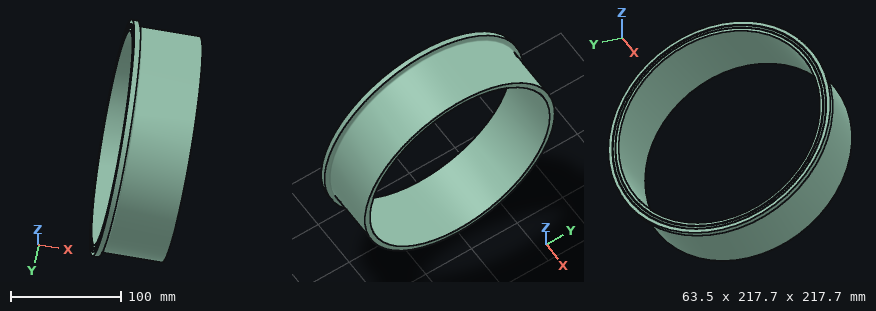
import cadquery as cq
import math

length = 63.5
flange_diameter = 217.7
tube_diameter = 208.0
bore_diameter = 197.0
flange_radius = flange_diameter / 2
tube_radius = tube_diameter / 2
bore_radius = bore_diameter / 2

rim_width = 5.7
taper_angle = math.radians(20)
neck_fillet = 1.5

groove_outer_radius = 105.0
groove_inner_radius = 101.5
groove_depth = 1.3
wall_width = 0.7
wall_depth = 0.5

corner_x = rim_width + (flange_radius - tube_radius) * math.tan(taper_angle)
tangent_length = neck_fillet * math.tan((math.pi / 2 - taper_angle) / 2)
taper_end = (
    corner_x - tangent_length * math.sin(taper_angle),
    tube_radius + tangent_length * math.cos(taper_angle),
)
fillet_end = (corner_x + tangent_length, tube_radius)
fillet_center = (fillet_end[0], tube_radius + neck_fillet)
middle_angle = (math.pi / 2 + taper_angle) / 2
fillet_middle = (
    fillet_center[0] - neck_fillet * math.cos(middle_angle),
    fillet_center[1] - neck_fillet * math.sin(middle_angle),
)

groove_bottom = (groove_depth, (groove_outer_radius + groove_inner_radius) / 2)

section = (
    cq.Workplane("XY")
    .moveTo(0, bore_radius)
    .lineTo(0, groove_inner_radius)
    .lineTo(wall_depth, groove_inner_radius + wall_width)
    .threePointArc(groove_bottom, (wall_depth, groove_outer_radius - wall_width))
    .lineTo(0, groove_outer_radius)
    .lineTo(0, flange_radius)
    .lineTo(rim_width, flange_radius)
    .lineTo(*taper_end)
    .threePointArc(fillet_middle, fillet_end)
    .lineTo(length, tube_radius)
    .lineTo(length, bore_radius)
    .close()
)

result = section.revolve(360, (0, 0, 0), (1, 0, 0))